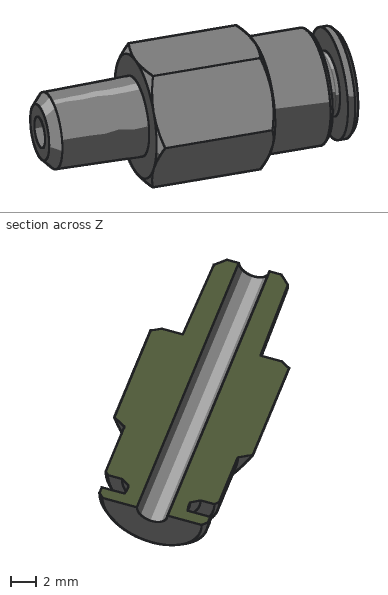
import cadquery as cq
import math

total_length = 25.2
bore_radius = 1.25

tip_radius = 2.27
tip_chamfer_length = 0.8
thread_small_radius = 3.1
thread_large_radius = 3.25
thread_length = 8.01

hex_across_flats = 10.0
hex_length = 10.03
hex_chamfer_angle = 30.0
envelope_margin = 0.25

sleeve_radius = 4.75
sleeve_length = 4.91
sleeve_chamfer = 0.3

flange_radius = 4.54
flange_thickness = 1.0
flange_chamfer = 0.4
neck_radius = 2.57
neck_top_radius = 2.65
neck_top_taper_length = 0.33
flare_radius = 3.28
flare_length = 0.45

hex_start = thread_length
hex_end = hex_start + hex_length
sleeve_end = hex_end + sleeve_length
flange_start = total_length - flange_thickness

hex_apothem = hex_across_flats / 2
hex_corner_radius = hex_apothem / math.cos(math.radians(30))
chamfer_slope = math.tan(math.radians(hex_chamfer_angle))


def revolve_profile(points):
    """Turn (radius, y) points into a solid of revolution about the Y axis."""
    return cq.Workplane("XY").polyline(points).close().revolve(360, (0, 0), (0, 1))


def thread_end():
    return revolve_profile([
        (0, 0),
        (tip_radius, 0),
        (thread_small_radius, tip_chamfer_length),
        (thread_large_radius, thread_length),
        (0, thread_length),
    ])


def hexagon():
    """Hexagonal prism with corners on the X axis and cone-chamfered ends."""
    prism = (
        cq.Workplane("XZ", origin=(0, hex_start, 0))
        .polygon(6, 2 * hex_corner_radius)
        .extrude(-hex_length)
    )
    cone_limit = hex_corner_radius + envelope_margin
    chamfer_envelope = revolve_profile([
        (0, hex_start),
        (hex_apothem, hex_start),
        (cone_limit, hex_start + (cone_limit - hex_apothem) * chamfer_slope),
        (cone_limit, hex_end - (cone_limit - sleeve_radius) * chamfer_slope),
        (sleeve_radius, hex_end),
        (0, hex_end),
    ])
    return prism.intersect(chamfer_envelope)


def sleeve_and_collar():
    return revolve_profile([
        (0, hex_end),
        (sleeve_radius, hex_end),
        (sleeve_radius, sleeve_end - sleeve_chamfer),
        (sleeve_radius - sleeve_chamfer, sleeve_end),
        (flare_radius, sleeve_end),
        (neck_radius, sleeve_end + flare_length),
        (neck_radius, flange_start - neck_top_taper_length),
        (neck_top_radius, flange_start),
        (flange_radius, flange_start),
        (flange_radius, total_length - flange_chamfer),
        (flange_radius - flange_chamfer, total_length),
        (0, total_length),
    ])


bore = cq.Workplane("XZ").circle(bore_radius).extrude(-total_length)

result = thread_end().union(hexagon()).union(sleeve_and_collar()).cut(bore)